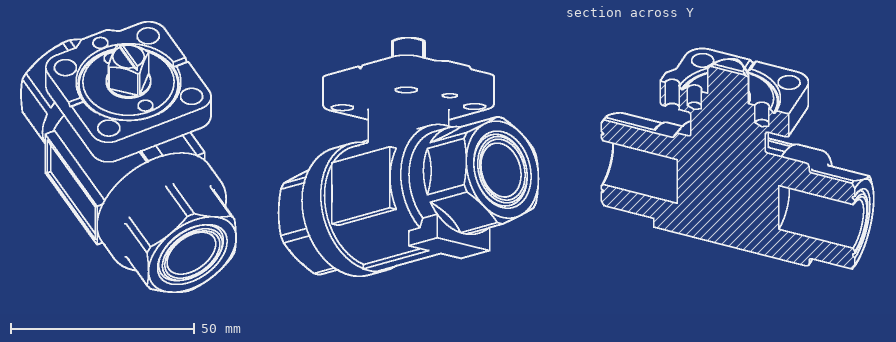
import cadquery as cq
import math

half_length = 37.5
base_depth = 18.0
flange_top = 33.45
stem_top = 43.6
chamfer_slope = math.tan(math.radians(30))
margin = 0.1

hex_flats = 27.0
hex_corner_radius = 15.0
hex_face_radius = hex_flats / 2
hex_point_diameter = hex_flats / math.cos(math.pi / 6)
hex_chamfer = (hex_corner_radius - hex_face_radius) * chamfer_slope

collar_start = -22.0
shoulder_start = -16.2
body_start = -15.0
body_end = 15.45
ring_start = 15.8
ring_end = 24.0
body_radius = 16.95
ring_radius = base_depth
ring_fillet = 1.1
hex_root_fillet = 0.75

bore_radius = 7.5
bore_depth = 22.5
bore_mouth_radius = 8.5
bore_chamfer = (bore_mouth_radius - bore_radius) * chamfer_slope
face_groove_inner = 9.2
face_groove_outer = 10.7
face_groove_depth = (face_groove_outer - face_groove_inner) / 2

neck_radius = 11.0
neck_root_fillet = 0.75
neck_top_fillet = 0.9
flange_size = 36.0
flange_thickness = 8.4
flange_bottom = flange_top - flange_thickness
flange_corner_radius = 5.0
flange_bottom_fillet = 0.9
ear_reach = 20.0
ear_tip_half_width = 3.9
ear_root_half_width = 6.6
ear_corner_radius = 1.0

bolt_spacing = 25.5
bolt_hole_diameter = 6.0
pin_diameter = 4.05
ear_pin_x = -16.5
blind_pin_x = 10.0
blind_pin_depth = 6.0
drill_tip_half_angle = 68.0
flange_groove_inner = 12.45
flange_groove_outer = 14.3
flange_groove_depth = 1.05
straight_groove_depth = 0.9
flange_groove_floor_inner = 13.5
flange_groove_floor_outer = 13.8

stem_radius = 6.1
stem_flats = 9.0
stem_collar_height = 0.6
stem_tip_radius = 4.3
stem_chamfer = (stem_radius - stem_tip_radius) * chamfer_slope
stem_slot_depth = 0.5

front_pad_start = -14.6
front_pad_end = ring_start
front_pad_height = 15.4
front_pad_reach = flange_size / 2
frame_side_width = 1.35
frame_end_width = 1.05
frame_rail_width = 1.2
frame_depth = 1.0
back_pad_start = -10.7
back_pad_end = 12.45
back_pad_height = 17.25
back_pad_reach = 17.0
rib_width = 4.5
lug_end = -10.5
lug_width = 19.65


def box(x0, x1, y0, y1, z0, z1):
    """Block between the given limits."""
    return cq.Workplane("XY").box(x1 - x0, y1 - y0, z1 - z0, centered=False).translate((x0, y0, z0))


def turn_about_x(outline):
    """Solid of revolution about the bore axis; points are (x, radius)."""
    return cq.Workplane("XY").polyline(outline).close().revolve(360, (0, 0, 0), (1, 0, 0))


def turn_about_z(outline, x=0):
    """Solid of revolution about a vertical axis at the given x; points are (radius, z)."""
    turned = cq.Workplane("XZ").polyline(outline).close().revolve(360, (0, 0, 0), (0, 1, 0))
    return turned.translate((x, 0, 0))


def hex_end(start, end, face_x):
    """Hexagon along X with trimmed corners, chamfered where it meets the end face."""
    hexagon = (
        cq.Workplane("YZ")
        .polygon(6, hex_point_diameter)
        .extrude(end - start)
        .rotate((0, 0, 0), (1, 0, 0), 90)
        .translate((start, 0, 0))
    )
    inner_x = start if face_x == end else end
    chamfer_x = face_x - math.copysign(hex_chamfer, face_x)
    envelope = turn_about_x([
        (inner_x, 0),
        (inner_x, hex_corner_radius),
        (chamfer_x, hex_corner_radius),
        (face_x, hex_face_radius),
        (face_x, 0),
    ])
    return hexagon.intersect(envelope)


def turned_body():
    """Collar, barrel and ring; the collar runs out into the hexagon flats at 45 degrees."""
    runout = hex_corner_radius - hex_face_radius
    barrel = turn_about_x([
        (collar_start - runout, 0),
        (collar_start - runout, hex_face_radius),
        (collar_start, hex_corner_radius),
        (shoulder_start, hex_corner_radius),
        (body_start, body_radius),
        (body_end, body_radius),
        (ring_start, ring_radius),
        (ring_end, ring_radius),
        (ring_end, 0),
    ])
    return barrel.faces(">X").edges().fillet(ring_fillet)


def flange():
    """Square plate with rounded corners and an ear on the -X side."""
    half = flange_size / 2
    plate = cq.Workplane("XY").rect(flange_size, flange_size).extrude(flange_thickness)
    plate = plate.edges("|Z").fillet(flange_corner_radius)
    ear = (
        cq.Workplane("XY")
        .polyline([
            (0, -ear_root_half_width),
            (-half, -ear_root_half_width),
            (-ear_reach, -ear_tip_half_width),
            (-ear_reach, ear_tip_half_width),
            (-half, ear_root_half_width),
            (0, ear_root_half_width),
        ])
        .close()
        .extrude(flange_thickness)
    )
    ear_corners = cq.selectors.BoxSelector(
        (-ear_reach - margin, -ear_root_half_width - margin, -margin),
        (-half + margin, ear_root_half_width + margin, flange_thickness + margin),
    )
    plate = plate.union(ear).edges("|Z").edges(ear_corners).fillet(ear_corner_radius)
    plate = plate.faces("<Z").edges().fillet(flange_bottom_fillet)
    return plate.translate((0, 0, flange_bottom))


def stem():
    """Square drive with trimmed corners on a short round collar."""
    collar_top = flange_top + stem_collar_height
    envelope = turn_about_z([
        (0, flange_bottom),
        (stem_radius, flange_bottom),
        (stem_radius, stem_top - stem_chamfer),
        (stem_tip_radius, stem_top),
        (0, stem_top),
    ])
    square = (
        cq.Workplane("XY")
        .workplane(offset=collar_top)
        .rect(stem_flats, stem_flats)
        .extrude(stem_top - collar_top)
        .rotate((0, 0, 0), (0, 0, 1), 45)
    )
    collar = cq.Workplane("XY").workplane(offset=flange_bottom).circle(stem_radius)
    collar = collar.extrude(collar_top - flange_bottom)
    slot = (
        cq.Workplane("YZ")
        .polyline([
            (-stem_slot_depth, stem_top),
            (0, stem_top - stem_slot_depth),
            (stem_slot_depth, stem_top),
        ])
        .close()
        .extrude(stem_radius, both=True)
    )
    return square.intersect(envelope).union(collar).cut(slot)


def pipe_bore():
    """Blind bore from the -X end, with a mouth chamfer and a V groove in the end face."""
    bore = turn_about_x([
        (-half_length, 0),
        (-half_length, bore_mouth_radius),
        (-half_length + bore_chamfer, bore_radius),
        (-half_length + bore_depth, bore_radius),
        (-half_length + bore_depth, 0),
    ])
    groove = turn_about_x([
        (-half_length, face_groove_inner),
        (-half_length + face_groove_depth, (face_groove_inner + face_groove_outer) / 2),
        (-half_length, face_groove_outer),
    ])
    return bore.union(groove)


def flange_holes():
    """Four bolt holes, a through pin hole in the ear and two blind drilled pin holes."""
    plane = cq.Workplane("XY").workplane(offset=flange_bottom)
    bolts = plane.rect(bolt_spacing, bolt_spacing, forConstruction=True).vertices()
    holes = bolts.circle(bolt_hole_diameter / 2).extrude(flange_thickness)
    ear_pin = plane.center(ear_pin_x, 0).circle(pin_diameter / 2).extrude(flange_thickness)
    holes = holes.union(ear_pin)
    pin_radius = pin_diameter / 2
    pin_floor = flange_top - blind_pin_depth
    tip_depth = pin_radius / math.tan(math.radians(drill_tip_half_angle))
    for x in (-blind_pin_x, blind_pin_x):
        holes = holes.union(turn_about_z([
            (0, flange_top),
            (pin_radius, flange_top),
            (pin_radius, pin_floor),
            (0, pin_floor - tip_depth),
        ], x))
    return holes


def flange_grooves():
    """Round groove with a narrow floor and a straight V groove from it to each Y edge."""
    floor_z = flange_top - flange_groove_depth
    ring = turn_about_z([
        (flange_groove_inner, flange_top),
        (flange_groove_floor_inner, floor_z),
        (flange_groove_floor_outer, floor_z),
        (flange_groove_outer, flange_top),
    ])
    straight = (
        cq.Workplane("XZ")
        .polyline([
            (-straight_groove_depth, flange_top),
            (0, flange_top - straight_groove_depth),
            (straight_groove_depth, flange_top),
        ])
        .close()
        .extrude(flange_size / 2 - flange_groove_floor_outer)
        .translate((0, -flange_groove_floor_outer, 0))
    )
    return ring.union(straight).union(straight.mirror("XZ"))


def pads():
    """Plain pad on the +Y side and the blank of the framed pad on the -Y side."""
    front_half_height = front_pad_height / 2
    back_half_height = back_pad_height / 2
    front = box(
        front_pad_start, front_pad_end,
        -front_pad_reach, 0,
        -front_half_height, front_half_height,
    )
    back = box(
        back_pad_start, back_pad_end,
        0, back_pad_reach,
        -back_half_height, back_half_height,
    )
    return front.union(back)


def frame_recess():
    """Shallow pocket that leaves a frame around the front pad."""
    half_height = front_pad_height / 2 - frame_rail_width
    return box(
        front_pad_start + frame_side_width, front_pad_end - frame_end_width,
        -front_pad_reach, -front_pad_reach + frame_depth,
        -half_height, half_height,
    )


def lug():
    """Lug under the collar."""
    return box(collar_start, lug_end, -lug_width / 2, lug_width / 2, -base_depth, 0)


def rib(start, bottom, top):
    """Narrow rib along the barrel, running from the given X to the ring."""
    return box(start, ring_start, -rib_width / 2, rib_width / 2, bottom, top)


def centred_region(radius, bottom, top):
    """Selector for edges whose centres lie within a square column about the stem axis."""
    return cq.selectors.BoxSelector((-radius, -radius, bottom), (radius, radius, top))


body = turned_body().union(hex_end(0, half_length, half_length))
hex_root = cq.selectors.BoxSelector(
    (ring_end - margin, -hex_corner_radius - margin, -hex_corner_radius - margin),
    (ring_end + margin, hex_corner_radius + margin, hex_corner_radius + margin),
)
body = body.edges(hex_root).fillet(hex_root_fillet)
body = body.union(hex_end(-half_length, 0, -half_length))

neck = cq.Workplane("XY").circle(neck_radius).extrude(flange_bottom)
body = body.union(neck).union(rib(0, 0, ring_radius))
root_edges = centred_region(neck_radius + margin, 0, ring_radius + margin)
body = body.edges(root_edges).edges("not |X").fillet(neck_root_fillet)
body = body.union(flange())
neck_top_edge = centred_region(neck_radius + margin, flange_bottom - margin, flange_bottom + margin)
body = body.edges(neck_top_edge).edges("%CIRCLE").fillet(neck_top_fillet)

body = body.union(pads()).union(lug()).union(rib(lug_end, -base_depth, 0))
body = body.cut(flange_grooves()).union(stem())
body = body.cut(flange_holes()).cut(frame_recess())
left_bore = pipe_bore()
result = body.cut(left_bore).cut(left_bore.mirror("YZ"))